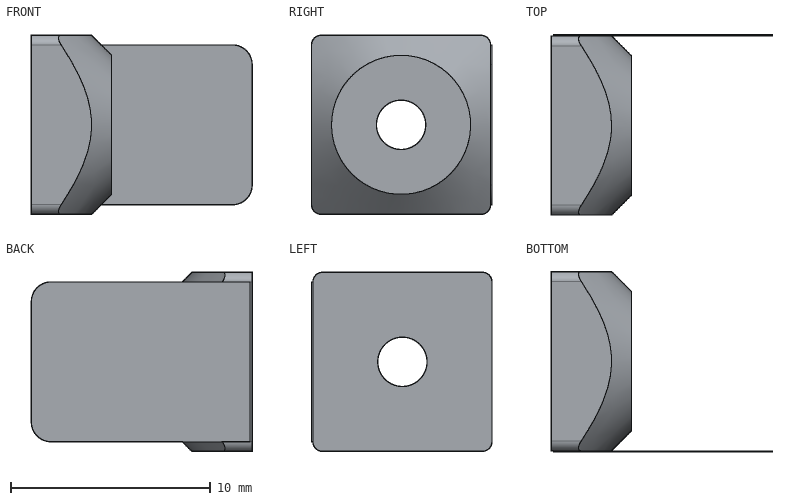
import cadquery as cq

block_side = 9.0
block_depth = 4.04
corner_radius = 0.5
hole_diameter = 2.46

cone_depth = 1.01
cone_end_radius = block_side / 2 - cone_depth
cone_base_radius = cone_end_radius + block_depth

sheet_start = 0.11
sheet_end = 11.1
sheet_height = 8.04
sheet_thickness = 0.07
sheet_corner_radius = 1.0


def make_block():
    square = (
        cq.Workplane("YZ")
        .rect(block_side, block_side)
        .extrude(block_depth)
        .edges("|X")
        .fillet(corner_radius)
    )
    cone = cq.Workplane(
        cq.Solid.makeCone(
            cone_base_radius,
            cone_end_radius,
            block_depth,
            pnt=cq.Vector(0, 0, 0),
            dir=cq.Vector(1, 0, 0),
        )
    )
    hole = cq.Workplane("YZ").circle(hole_diameter / 2).extrude(block_depth)
    return square.intersect(cone).cut(hole)


def make_sheet():
    sheet_length = sheet_end - sheet_start
    return (
        cq.Workplane("XY")
        .box(sheet_length, sheet_thickness, sheet_height, centered=(False, False, True))
        .edges("|Y and >X")
        .fillet(sheet_corner_radius)
        .translate((sheet_start, block_side / 2, 0))
    )


result = make_block().union(make_sheet())